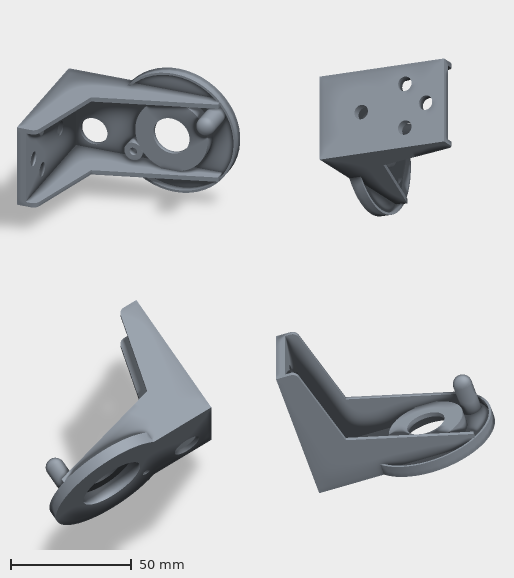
import cadquery as cq
import math

BRACKET_WIDTH = 36.0
BRACKET_DEPTH = 57.0
WALL = 2.0
PLATE_THICKNESS = 4.0
ARM_LENGTH = 69.3
FLOOR_THICKNESS = 2.0

INNER_CORNER_X = 18.3
INNER_CORNER_Y = -20.5
TAPER = math.tan(math.radians(15))
TOE_RADIUS = 3.0

DISH_X = 49.0
DISH_RADIUS = 27.5
DISH_HEIGHT = 5.0
RIM = 1.0

BORE_RADIUS = 8.1
BOSS_RADIUS = 16.1
BOSS_HEIGHT = 8.0
CAVITY_RADIUS = 14.0
BOSS_TOP_THICKNESS = 2.0
BAR_WIDTH = 10.0

SCREW_X = 32.0
SCREW_Z = -10.6
SCREW_RADIUS = 1.7
SCREW_BOSS_RADIUS = 4.0
CLEARANCE_X = 12.0
CLEARANCE_Z = -8.0
CLEARANCE_RADIUS = 6.0

PIN_X = 67.2
PIN_Z = 11.5
PIN_RADIUS = 4.0
PIN_TIP_Y = -18.8

MOUNT_RADIUS = 3.1
MOUNT_CIRCLE_Y = -39.0
MOUNT_CIRCLE_RADIUS = 9.5
SINGLE_MOUNT_Y = -19.0

INNER_WIDTH = BRACKET_WIDTH - 2 * WALL


def cylinder_y(x, z, radius, back, front):
    """Cylinder along Y between the planes Y = -back and Y = -front."""
    plane = cq.Workplane("XZ", origin=(0, -back, 0))
    return plane.center(x, z).circle(radius).extrude(front - back)


def block(x_range, y_range, height):
    """Box over the given X and Y ranges, centred on Z = 0."""
    length = x_range[1] - x_range[0]
    depth = y_range[1] - y_range[0]
    box = cq.Workplane("XY").box(length, depth, height, centered=(False, False, True))
    return box.translate((x_range[0], y_range[0], 0))


def make_bracket():
    """Tapered L-shaped body, hollow between its two side walls."""
    arm_end_y = INNER_CORNER_Y + TAPER * (ARM_LENGTH - INNER_CORNER_X)
    toe_x = INNER_CORNER_X - TAPER * (BRACKET_DEPTH + INNER_CORNER_Y)
    body = (
        cq.Workplane("XY", origin=(0, 0, -BRACKET_WIDTH / 2))
        .moveTo(0, 0)
        .lineTo(ARM_LENGTH, 0)
        .lineTo(ARM_LENGTH, arm_end_y)
        .lineTo(INNER_CORNER_X, INNER_CORNER_Y)
        .lineTo(toe_x, -BRACKET_DEPTH)
        .lineTo(0, -BRACKET_DEPTH)
        .close()
        .extrude(BRACKET_WIDTH)
    )
    toe_edge = cq.selectors.NearestToPointSelector((toe_x, -BRACKET_DEPTH, 0))
    body = body.edges(toe_edge).fillet(TOE_RADIUS)
    hollow = block((PLATE_THICKNESS, ARM_LENGTH), (-BRACKET_DEPTH, -FLOOR_THICKNESS), INNER_WIDTH)
    return body.cut(hollow)


def make_dish():
    """Round floor with a raised rim, open where the bracket's hollow runs into it."""
    dish = cylinder_y(DISH_X, 0, DISH_RADIUS, 0, DISH_HEIGHT)
    dish = dish.cut(cylinder_y(DISH_X, 0, DISH_RADIUS - RIM, FLOOR_THICKNESS, DISH_HEIGHT))
    opening = block((0, DISH_X), (-DISH_HEIGHT, -FLOOR_THICKNESS), INNER_WIDTH)
    return dish.cut(opening)


def make_pin():
    """Pin standing on the floor, ending in a half ball."""
    ball_y = PIN_TIP_Y + PIN_RADIUS
    ball = cq.Workplane("XY").sphere(PIN_RADIUS).translate((PIN_X, ball_y, PIN_Z))
    return cylinder_y(PIN_X, PIN_Z, PIN_RADIUS, 0, -ball_y).union(ball)


def make_bosses():
    """Bore boss with its cross bar, joined to the screw boss of the same height."""
    bosses = cylinder_y(DISH_X, 0, BOSS_RADIUS, 0, BOSS_HEIGHT)
    bar_x = (DISH_X - BAR_WIDTH / 2, DISH_X + BAR_WIDTH / 2)
    bosses = bosses.union(block(bar_x, (-BOSS_HEIGHT, 0), INNER_WIDTH))
    bosses = bosses.union(cylinder_y(SCREW_X, SCREW_Z, SCREW_BOSS_RADIUS, 0, BOSS_HEIGHT))
    return bosses.intersect(block((0, ARM_LENGTH), (-BOSS_HEIGHT, 0), INNER_WIDTH))


def make_cavity():
    """Round cavity in the back of the bore boss, leaving a top of even thickness."""
    return cylinder_y(DISH_X, 0, CAVITY_RADIUS, 0, BOSS_HEIGHT - BOSS_TOP_THICKNESS)


def make_floor_holes():
    """Through holes along Y: bore, screw hole and clearance hole."""
    holes = cylinder_y(DISH_X, 0, BORE_RADIUS, 0, BOSS_HEIGHT)
    holes = holes.union(cylinder_y(SCREW_X, SCREW_Z, SCREW_RADIUS, 0, BOSS_HEIGHT))
    return holes.union(cylinder_y(CLEARANCE_X, CLEARANCE_Z, CLEARANCE_RADIUS, 0, FLOOR_THICKNESS))


def make_mounting_holes():
    """Four holes along X through the mounting plate."""
    centres = [
        (SINGLE_MOUNT_Y, 0),
        (MOUNT_CIRCLE_Y - MOUNT_CIRCLE_RADIUS, 0),
        (MOUNT_CIRCLE_Y, MOUNT_CIRCLE_RADIUS),
        (MOUNT_CIRCLE_Y, -MOUNT_CIRCLE_RADIUS),
    ]
    return cq.Workplane("YZ").pushPoints(centres).circle(MOUNT_RADIUS).extrude(PLATE_THICKNESS)


result = make_bracket().union(make_dish()).union(make_pin()).union(make_bosses())
result = result.cut(make_cavity()).cut(make_floor_holes()).cut(make_mounting_holes())